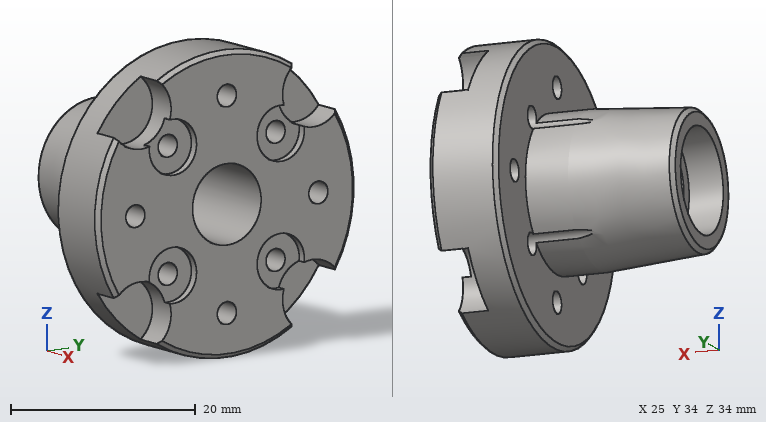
import cadquery as cq
import math


hub_length = 17.0
taper_length = 12.0
hub_tip_diameter = 16.0
hub_root_diameter = 17.8
hub_chamfer = 0.5

flange_diameter = 34.0
flange_thickness = 8.0
flange_chamfer = 0.5

bore_diameter = 9.0
socket_diameter = 12.0
socket_depth = 4.0

small_hole_diameter = 2.5
outer_hole_radius = 12.0
inner_hole_radius = 10.0
counterbore_diameter = 6.2
counterbore_depth = 1.0

notch_width = 8.0
notch_center_radius = 16.0
notch_depth = 3.6

hole_count = 4
hole_spacing = 360.0 / hole_count
diagonal_angle = hole_spacing / 2

total_length = hub_length + flange_thickness
hub_tip_radius = hub_tip_diameter / 2
hub_root_radius = hub_root_diameter / 2
flange_radius = flange_diameter / 2


def rod(diameter, radius, angle, x_start, x_end):
    """Cylinder along X whose axis sits at a polar place around the part axis."""
    y = radius * math.cos(math.radians(angle))
    z = radius * math.sin(math.radians(angle))
    base_center = cq.Vector(x_start, y, z)
    along_x = cq.Vector(1, 0, 0)
    return cq.Workplane(cq.Solid.makeCylinder(diameter / 2, x_end - x_start, base_center, along_x))


def turned_body():
    """Hub and flange revolved from one half profile."""
    return (
        cq.Workplane("XZ")
        .moveTo(0, 0)
        .lineTo(0, hub_tip_radius - hub_chamfer)
        .lineTo(hub_chamfer, hub_tip_radius)
        .lineTo(taper_length, hub_root_radius)
        .lineTo(hub_length, hub_root_radius)
        .lineTo(hub_length, flange_radius - flange_chamfer)
        .lineTo(hub_length + flange_chamfer, flange_radius)
        .lineTo(total_length - flange_chamfer, flange_radius)
        .lineTo(total_length, flange_radius - flange_chamfer)
        .lineTo(total_length, 0)
        .close()
        .revolve(360, (0, 0, 0), (1, 0, 0))
    )


def stepped_bore():
    """Through bore with a wider socket at the hub tip."""
    bore = rod(bore_diameter, 0, 0, 0, total_length)
    socket = rod(socket_diameter, 0, 0, 0, socket_depth)
    return bore.union(socket)


def rim_notch(angle):
    """Notch with parallel sides, open at the rim and rounded towards the axis."""
    x_start = total_length - notch_depth
    rounded_end = rod(notch_width, notch_center_radius, angle, x_start, total_length)
    mouth = (
        cq.Workplane("XY")
        .box(notch_depth, notch_width, notch_width, centered=(False, False, True))
        .translate((x_start, notch_center_radius, 0))
        .rotate((0, 0, 0), (1, 0, 0), angle)
    )
    return rounded_end.union(mouth)


def inner_hole(angle):
    """Hole run the full length so that it also grooves the hub side, counterbored in the flange face."""
    hole = rod(small_hole_diameter, inner_hole_radius, angle, 0, total_length)
    counterbore_start = total_length - counterbore_depth
    counterbore = rod(counterbore_diameter, inner_hole_radius, angle, counterbore_start, total_length)
    return hole.union(counterbore)


result = turned_body().cut(stepped_bore())
for index in range(hole_count):
    straight = index * hole_spacing
    diagonal = straight + diagonal_angle
    result = result.cut(rod(small_hole_diameter, outer_hole_radius, straight, hub_length, total_length))
    result = result.cut(inner_hole(diagonal))
    result = result.cut(rim_notch(diagonal))